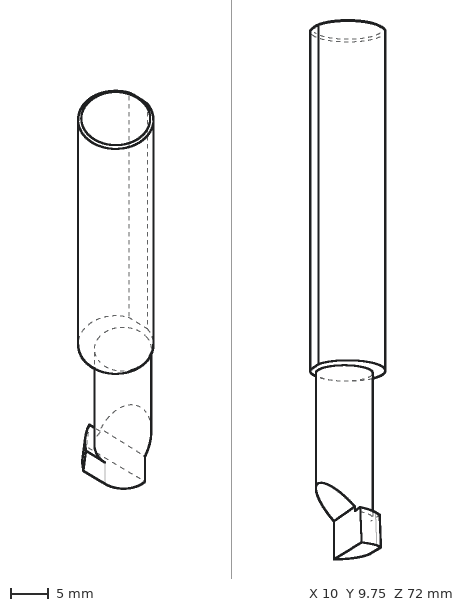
import cadquery as cq
import math


total_length = 72.0
shank_diameter = 10.0
shank_length = 47.0
shank_flat_depth = 0.25
chamfer_height = 0.25
chamfer_angle = 60.0

neck_diameter = 7.55

rake_height = 5.6

tip_reach = 5.0
head_height = 5.0
head_lean = 0.5
flank_mid = (0.57, -1.4)
flank_end = (1.47, -2.75)
heel_inset = 2.5
end_relief_angle = 5.0
end_clearance_angle = 2.0

shank_radius = shank_diameter / 2
neck_radius = neck_diameter / 2
neck_center_x = shank_radius - neck_radius
shank_bottom = total_length - shank_length
chamfer_width = chamfer_height * math.tan(math.radians(chamfer_angle))
cutter_size = 4 * shank_diameter


def make_shank():
    """Cylinder with a chamfered top rim and a narrow flat along its +Y side."""
    shank = (
        cq.Workplane("XY", origin=(0, 0, shank_bottom))
        .circle(shank_radius)
        .extrude(shank_length)
        .faces(">Z")
        .chamfer(chamfer_height, chamfer_width)
    )
    flat_cutter = cq.Workplane("XY", origin=(0, shank_radius - shank_flat_depth, shank_bottom)).box(
        cutter_size, cutter_size, shank_length, centered=(True, False, False)
    )
    return shank.cut(flat_cutter)


def make_neck():
    """Offset cylinder with its +Y half removed at the foot."""
    neck = cq.Workplane("XY", origin=(neck_center_x, 0, 0)).circle(neck_radius).extrude(shank_bottom)
    rake_cutter = (
        cq.Workplane("YZ")
        .moveTo(0, 0)
        .lineTo(0, rake_height)
        .lineTo(shank_radius, rake_height + shank_radius)
        .lineTo(shank_radius, 0)
        .close()
        .extrude(shank_radius, both=True)
    )
    return neck.cut(rake_cutter)


def draw_head_section(plane, tip_x):
    """Draw the head outline: curved flank, straight heel, front face tangent to the neck."""
    return (
        plane.moveTo(tip_x, 0)
        .threePointArc(
            (tip_x + flank_mid[0], flank_mid[1]),
            (tip_x + flank_end[0], flank_end[1]),
        )
        .lineTo(tip_x + heel_inset, -neck_radius)
        .lineTo(neck_center_x, -neck_radius)
        .lineTo(neck_center_x, 0)
        .close()
    )


def make_head():
    """Cutting head whose flank leans inward toward its top."""
    foot = draw_head_section(cq.Workplane("XY"), -tip_reach)
    top_plane = foot.workplane(offset=head_height)
    return draw_head_section(top_plane, -tip_reach + head_lean).loft(ruled=True)


def make_end_cutter():
    """Block below the sloping end face, which rises from the tip toward +X and -Y."""
    return (
        cq.Workplane("XY")
        .box(cutter_size, cutter_size, cutter_size, centered=(True, True, False))
        .translate((0, 0, -cutter_size))
        .rotate((0, 0, 0), (0, 1, 0), -end_clearance_angle)
        .rotate((0, 0, 0), (1, 0, 0), -end_relief_angle)
        .translate((-tip_reach, 0, 0))
    )


result = make_shank().union(make_neck()).union(make_head()).cut(make_end_cutter())